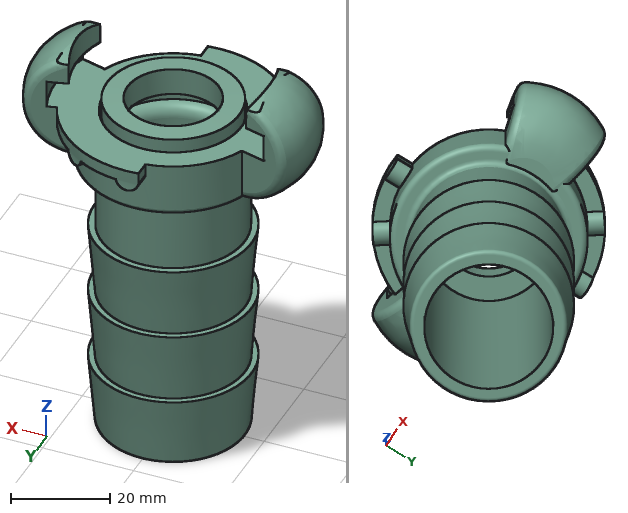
import cadquery as cq
import math

TOTAL_HEIGHT = 87.9
FACE_Z = 75.95
COLLAR_BOTTOM_Z = 64.0

TAIL_RADIUS = 31.5 / 2
BARB_TOP_RADIUS = 34.5 / 2
BARB_FOOT_RADIUS = 15.8
BARB_PITCH = 16.0
BARB_COUNT = 3
TAIL_END_FILLET = 0.9
BORE_RADIUS = 26.0 / 2

COLLAR_RADIUS = 19.95
COLLAR_FILLET = 1.3
FLANGE_RADIUS = 23.5
FLANGE_THICKNESS = 2.8
FLANGE_END_X = 2.55
BUMP_RADIUS = FLANGE_END_X
BUMP_BOTTOM_Z = 71.2
BUMP_ANGLES = (0, 35)

CLAW_REACH = 62.85 / 2
CLAW_PLAN_RADIUS = 18.5
CLAW_CROWN_RADIUS = 22.9
CLAW_ROOT_X = 15.4
CLAW_FLANK_ANGLE = 15
CLAW_FLANK_OFFSET = 2.7
CLAW_FILLET = 1.8
CLAW_TIP_RADIUS = 21.1
CLAW_RISE = TOTAL_HEIGHT - FACE_Z
CLAW_TIP_DEPTH = CLAW_REACH - CLAW_TIP_RADIUS
CLAW_SECTION_RADIUS = (CLAW_RISE**2 + CLAW_TIP_DEPTH**2) / (2 * CLAW_TIP_DEPTH)
SLOT_RADIUS = 25.6
SLOT_HEIGHT = 6.1

SEAL_BORE_RADIUS = 20.0 / 2
SEAL_LIP_RADIUS = 29.0 / 2
SEAL_EDGE_Z = 78.8
SEAL_TOP_Z = 78.9
SEAL_BOTTOM_Z = 72.9
SEAL_FLANGE_RADIUS = 34.5 / 2
SEAL_FLANGE_THICKNESS = 1.8
SEAT_MOUTH_RADIUS = 30.0 / 2
SEAT_GROOVE_RADIUS = 35.0 / 2
SEAT_CHAMBER_RADIUS = 31.5 / 2
GROOVE_TOP_Z = SEAL_BOTTOM_Z + SEAL_FLANGE_THICKNESS
SHOULDER_RADIUS = SEAT_CHAMBER_RADIUS - BORE_RADIUS
SHOULDER_TOP_Z = 67.6
SHOULDER_BOTTOM_Z = SHOULDER_TOP_Z - SHOULDER_RADIUS

DIAGONAL = math.sqrt(0.5)


def disc(radius, bottom_z, height):
    return cq.Workplane("XY").workplane(offset=bottom_z).circle(radius).extrude(height)


def hose_tail_and_collar():
    """Solid turned blank: barbed tail, filleted neck and collar."""
    profile = cq.Workplane("XZ").moveTo(0, 0).lineTo(BARB_FOOT_RADIUS, 0)
    for barb in range(1, BARB_COUNT + 1):
        barb_top_z = barb * BARB_PITCH
        next_radius = BARB_FOOT_RADIUS if barb < BARB_COUNT else TAIL_RADIUS
        profile = profile.lineTo(BARB_TOP_RADIUS, barb_top_z).lineTo(next_radius, barb_top_z)
    blank = (
        profile.lineTo(TAIL_RADIUS, COLLAR_BOTTOM_Z)
        .lineTo(COLLAR_RADIUS, COLLAR_BOTTOM_Z)
        .lineTo(COLLAR_RADIUS, FACE_Z)
        .lineTo(0, FACE_Z)
        .close()
        .revolve(360, (0, 0), (0, 1))
    )
    blank = blank.faces("<Z").edges().fillet(TAIL_END_FILLET)
    underside_edges = [
        edge for edge in blank.edges("%CIRCLE").vals()
        if math.isclose(edge.Center().z, COLLAR_BOTTOM_Z)
    ]
    return blank.newObject(underside_edges).fillet(COLLAR_FILLET)


def locking_flange():
    """Flange on the -Y side, running from its straight end to the -X claw, with two bumps below."""
    sector = cq.Workplane("XY").box(
        FLANGE_RADIUS + FLANGE_END_X, FLANGE_RADIUS, TOTAL_HEIGHT, centered=False
    ).translate((-FLANGE_RADIUS, -FLANGE_RADIUS, 0))
    flange = disc(FLANGE_RADIUS, FACE_Z - FLANGE_THICKNESS, FLANGE_THICKNESS).intersect(sector)

    envelope = disc(FLANGE_RADIUS, 0, FACE_Z)
    for angle in BUMP_ANGLES:
        bump = (
            cq.Workplane("XZ")
            .center(0, BUMP_BOTTOM_Z + BUMP_RADIUS)
            .circle(BUMP_RADIUS)
            .extrude(FLANGE_RADIUS + 0.9)
            .rotate((0, 0, 0), (0, 0, 1), -angle)
        )
        flange = flange.union(bump.intersect(envelope))
    return flange


def claw():
    """Hooked claw on the +X side."""
    axis_x = CLAW_REACH - CLAW_PLAN_RADIUS
    section_offset = CLAW_PLAN_RADIUS - CLAW_SECTION_RADIUS
    back = (
        cq.Workplane("XZ")
        .moveTo(0, FACE_Z - CLAW_SECTION_RADIUS)
        .lineTo(section_offset, FACE_Z - CLAW_SECTION_RADIUS)
        .threePointArc((CLAW_PLAN_RADIUS, FACE_Z), (section_offset, FACE_Z + CLAW_SECTION_RADIUS))
        .lineTo(0, FACE_Z + CLAW_SECTION_RADIUS)
        .close()
        .revolve(360, (0, 0), (0, 1))
        .translate((axis_x, 0, 0))
    )

    spread = math.tan(math.radians(CLAW_FLANK_ANGLE))
    outer_x = CLAW_REACH + 0.9
    root_half = CLAW_FLANK_OFFSET + CLAW_ROOT_X * spread
    outer_half = CLAW_FLANK_OFFSET + outer_x * spread
    wedge = (
        cq.Workplane("XY")
        .polyline([
            (CLAW_ROOT_X, -root_half),
            (outer_x, -outer_half),
            (outer_x, outer_half),
            (CLAW_ROOT_X, root_half),
        ])
        .close()
        .extrude(FACE_Z + 2 * CLAW_SECTION_RADIUS)
    )
    body = back.intersect(wedge)
    flank_edges = [edge for edge in body.edges().vals() if edge.BoundingBox().xmax > CLAW_ROOT_X + 0.9]
    body = body.newObject(flank_edges).fillet(CLAW_FILLET)

    crown = (
        cq.Workplane("YZ")
        .center(0, TOTAL_HEIGHT - CLAW_CROWN_RADIUS)
        .circle(CLAW_CROWN_RADIUS)
        .extrude(outer_x)
    )
    above_face = disc(2 * CLAW_REACH, FACE_Z, CLAW_SECTION_RADIUS)
    body = body.cut(above_face.cut(crown))

    throat = disc(CLAW_TIP_RADIUS, FACE_Z, CLAW_SECTION_RADIUS)
    slot = disc(SLOT_RADIUS, FACE_Z, SLOT_HEIGHT)
    return body.cut(throat).cut(slot)


def bore_and_seal_seat():
    """Through bore with a rounded shoulder, seal chamber, retaining groove and mouth."""
    shoulder_mid = (
        SEAT_CHAMBER_RADIUS - SHOULDER_RADIUS * DIAGONAL,
        SHOULDER_BOTTOM_Z + SHOULDER_RADIUS * DIAGONAL,
    )
    return (
        cq.Workplane("XZ")
        .moveTo(0, 0)
        .lineTo(BORE_RADIUS, 0)
        .lineTo(BORE_RADIUS, SHOULDER_BOTTOM_Z)
        .threePointArc(shoulder_mid, (SEAT_CHAMBER_RADIUS, SHOULDER_TOP_Z))
        .lineTo(SEAT_CHAMBER_RADIUS, SEAL_BOTTOM_Z)
        .lineTo(SEAT_GROOVE_RADIUS, SEAL_BOTTOM_Z)
        .lineTo(SEAT_GROOVE_RADIUS, GROOVE_TOP_Z)
        .lineTo(SEAT_MOUTH_RADIUS, GROOVE_TOP_Z)
        .lineTo(SEAT_MOUTH_RADIUS, FACE_Z)
        .lineTo(0, FACE_Z)
        .close()
        .revolve(360, (0, 0), (0, 1))
    )


def make_coupling():
    coupling = hose_tail_and_collar()
    flange = locking_flange()
    hook = claw()
    for angle in (0, 180):
        for feature in (flange, hook):
            coupling = coupling.union(feature.rotate((0, 0, 0), (0, 0, 1), angle))
    return coupling.cut(bore_and_seal_seat())


def make_seal():
    return (
        cq.Workplane("XZ")
        .moveTo(SEAL_BORE_RADIUS, SEAL_BOTTOM_Z)
        .lineTo(SEAL_FLANGE_RADIUS, SEAL_BOTTOM_Z)
        .lineTo(SEAL_FLANGE_RADIUS, GROOVE_TOP_Z)
        .lineTo(SEAL_LIP_RADIUS, GROOVE_TOP_Z)
        .lineTo(SEAL_LIP_RADIUS, SEAL_EDGE_Z)
        .lineTo(SEAL_BORE_RADIUS, SEAL_TOP_Z)
        .close()
        .revolve(360, (0, 0), (0, 1))
    )


coupling = make_coupling()
seal = make_seal()
result = cq.Compound.makeCompound([coupling.solids().val(), seal.val()])